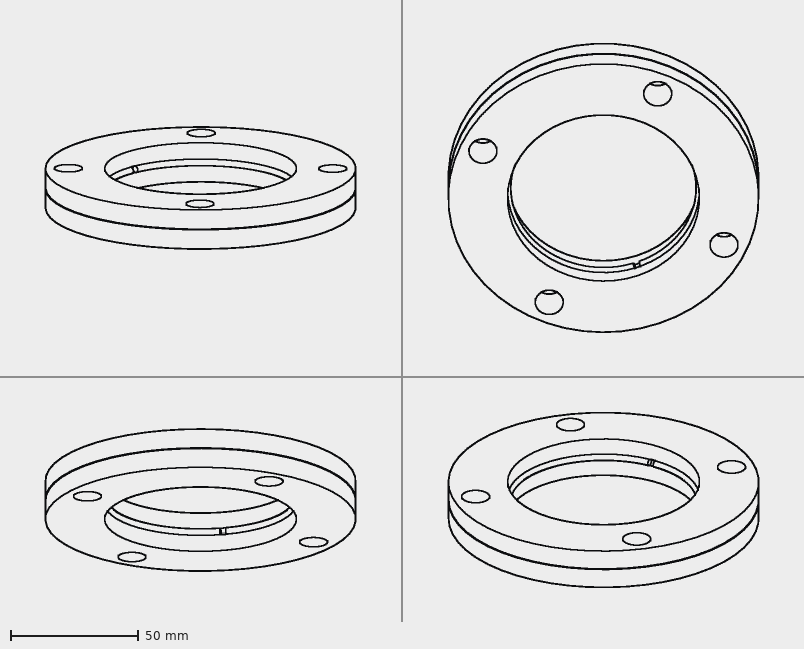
import cadquery as cq

outer_diameter = 122.0
bore_diameter = 75.4
thickness = 16.0
mid_height = thickness / 2

hole_diameter = 11.0
hole_spacing = 73.5

seam_width = 0.2
seam_depth = 0.1

bead_radius = 1.3
bead_gap = 2.5


def make_flange():
    return (
        cq.Workplane("XY")
        .circle(outer_diameter / 2)
        .circle(bore_diameter / 2)
        .extrude(thickness)
    )


def make_ring():
    """Ring of round section centred on the bore wall, half of it buried in the flange."""
    return (
        cq.Workplane("XZ")
        .center(bore_diameter / 2, mid_height)
        .circle(bead_radius)
        .revolve(360, (-bore_diameter / 2, 0), (-bore_diameter / 2, 1))
    )


def make_bead_gaps():
    """Full round section of the ring at both gaps, so the seat behind it lies open."""
    gap_slab = cq.Workplane("XY").box(outer_diameter, bead_gap, thickness)
    return make_ring().intersect(gap_slab.translate((0, 0, mid_height)))


def make_seam():
    return (
        cq.Workplane("XY", origin=(0, 0, mid_height - seam_width / 2))
        .circle(outer_diameter / 2)
        .circle(outer_diameter / 2 - seam_depth)
        .extrude(seam_width)
    )


def make_bolt_holes():
    return (
        cq.Workplane("XY")
        .rect(hole_spacing, hole_spacing, forConstruction=True)
        .vertices()
        .circle(hole_diameter / 2)
        .extrude(thickness)
    )


result = make_flange().cut(make_seam()).union(make_ring())
result = result.cut(make_bead_gaps()).cut(make_bolt_holes())